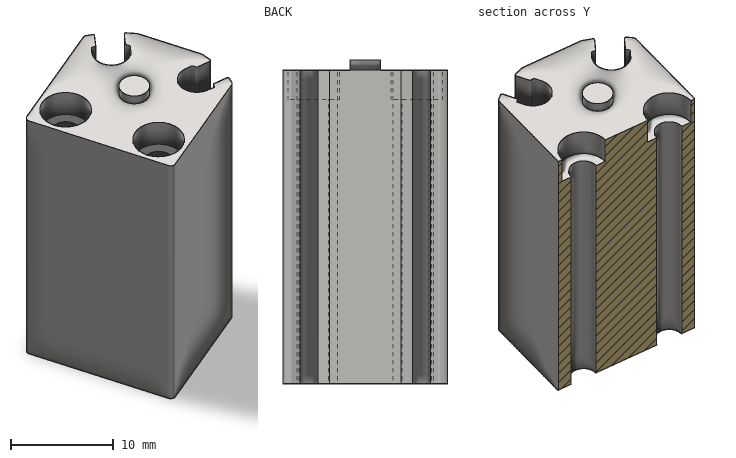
import cadquery as cq

width = 16.0
total_height = 31.5
pin_height = 1.0
housing_height = total_height - pin_height
half_width = width / 2
corner_radius = 0.5

side_slope_start_y = 5.45
top_slope_start_x = 3.45
slope_peak_x = 6.08
slope_peak_y = 7.05

hole_offset = 5.0
hole_diameter = 2.9
counterbore_diameter = 5.0
counterbore_depth = 2.87

slot_center_x = 4.6
slot_center_y = 4.47
slot_radius = 1.9
slot_tilt = 30.0
mouth_half_width = 1.45
mouth_start = 0.98
shoulder_start = 0.8
mouth_end = 4.4
lip_radius = 0.2
lip_clearance = 0.15

pin_diameter = 3.0


def make_block():
    """Square block with sloped +Y corners and the edges of its two sides rounded."""
    block = (
        cq.Workplane("XY")
        .moveTo(-half_width, -half_width)
        .lineTo(half_width, -half_width)
        .lineTo(half_width, side_slope_start_y)
        .lineTo(slope_peak_x, slope_peak_y)
        .lineTo(top_slope_start_x, half_width)
        .lineTo(-top_slope_start_x, half_width)
        .lineTo(-slope_peak_x, slope_peak_y)
        .lineTo(-half_width, side_slope_start_y)
        .close()
        .extrude(housing_height)
    )
    side_faces = block.faces("<X or >X")
    return side_faces.edges("|Z").fillet(corner_radius)


def make_slot_cutter():
    """Left slot: a round-bottomed channel with shoulders and a straight, tilted mouth."""
    return (
        cq.Workplane("XY")
        .moveTo(slot_radius, shoulder_start)
        .lineTo(slot_radius, 0)
        .threePointArc((0, -slot_radius), (-slot_radius, 0))
        .lineTo(-slot_radius, shoulder_start)
        .lineTo(-mouth_half_width, mouth_start)
        .lineTo(-mouth_half_width, mouth_end)
        .lineTo(mouth_half_width, mouth_end)
        .lineTo(mouth_half_width, mouth_start)
        .close()
        .extrude(housing_height)
        .rotate((0, 0, 0), (0, 0, 1), slot_tilt)
        .translate((-slot_center_x, slot_center_y, 0))
    )


def round_slot_lips(body):
    """Round the edges where the slot mouths meet the sloped corners."""
    lips_low_y = side_slope_start_y + corner_radius
    lips_high_y = half_width - lip_clearance
    lip_zone = cq.selectors.BoxSelector(
        (-half_width, lips_low_y, 0),
        (half_width, lips_high_y, housing_height),
    )
    return body.edges("|Z").edges(lip_zone).fillet(lip_radius)


def make_housing():
    """Slotted block with two counterbored mounting holes."""
    housing = make_block()
    left_slot = make_slot_cutter()
    right_slot = left_slot.mirror("YZ")
    housing = round_slot_lips(housing.cut(left_slot).cut(right_slot))
    return (
        housing.faces(">Z")
        .workplane(origin=(0, 0, housing_height))
        .pushPoints([(-hole_offset, -hole_offset), (hole_offset, -hole_offset)])
        .cboreHole(hole_diameter, counterbore_diameter, counterbore_depth)
    )


def make_pin():
    """Round pin standing on the middle of the housing's top face."""
    return (
        cq.Workplane("XY")
        .workplane(offset=housing_height)
        .circle(pin_diameter / 2)
        .extrude(pin_height)
    )


housing = make_housing()
pin = make_pin()
result = cq.Compound.makeCompound([housing.val(), pin.val()])